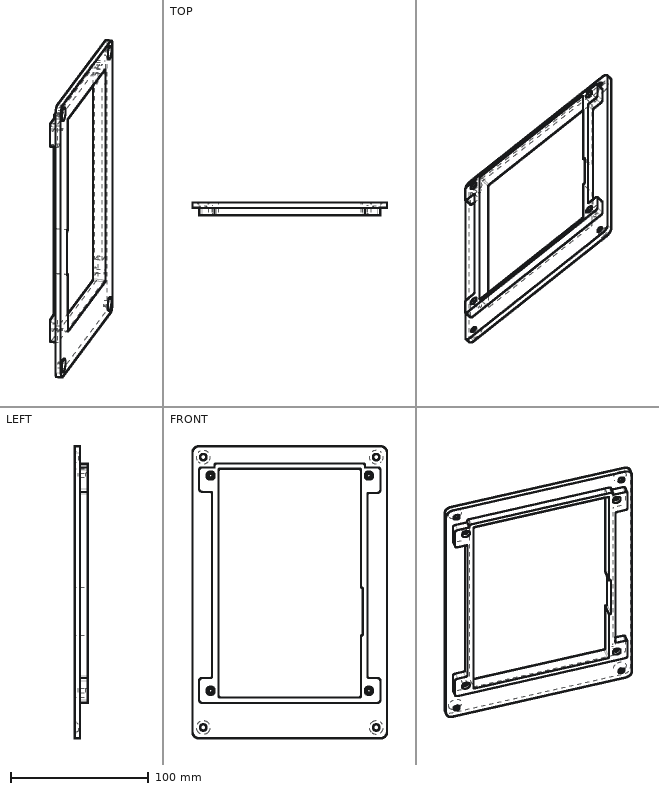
import cadquery as cq

plate_width = 142.0
plate_height = 213.0
plate_thickness = 4.0
plate_corner_radius = 5.0
total_depth = 9.5

mount_hole_diameter = 4.5
mount_hole_inset = 8.0
mount_countersink_diameter = 10.0

frame_height = total_depth - plate_thickness
frame_top = 93.75
frame_bottom = -80.5
crest_half_width = 55.0
tab_half_width = 66.0
rail_half_width = 56.5
upper_tab_top = 91.0
left_upper_tab_bottom = 73.25
right_upper_tab_bottom = 72.5
lower_tab_top = -62.5
tab_corner_radius = 2.0
rail_corner_radius = 1.5
crest_corner_radius = 1.5

window_half_width = 51.75
window_top = 90.0
window_bottom = -76.5
window_corner_radius = 1.0

relief_depth = 1.4
relief_top = 3.5
relief_bottom = -31.5
relief_corner_radius = 1.0

screw_x = 57.65
upper_screw_z = 85.0
lower_screw_z = -71.75
screw_hole_diameter = 3.0
screw_hole_depth = 7.0
screw_countersink_diameter = 6.0

plate_back = total_depth / 2
plate_front = plate_back - plate_thickness
frame_front = -total_depth / 2

TOWARDS_FRONT = cq.Vector(0, -1, 0)
TOWARDS_BACK = cq.Vector(0, 1, 0)


def front_plane(y):
    """Sketch plane with local axes X and Z whose normal points to -Y."""
    return cq.Workplane("XZ", origin=(0, y, 0))


def box_between(x_min, x_max, z_min, z_max, y_back, depth):
    """Block running from y_back towards -Y by depth."""
    return (
        front_plane(y_back)
        .center((x_min + x_max) / 2, (z_min + z_max) / 2)
        .rect(x_max - x_min, z_max - z_min)
        .extrude(depth)
    )


def countersunk_hole(mouth, direction, diameter, depth, countersink_diameter):
    """Round hole cutter with a 90-degree countersink at its mouth."""
    countersink_depth = (countersink_diameter - diameter) / 2
    shaft = cq.Solid.makeCylinder(diameter / 2, depth, mouth, direction)
    cone = cq.Solid.makeCone(countersink_diameter / 2, diameter / 2, countersink_depth, mouth, direction)
    return cq.Workplane(shaft.fuse(cone))


def fillet_uprights(body, points, radius):
    """Round the edges parallel to Y that pass through the given (x, z) points."""
    margin = 0.1
    for x, z in points:
        around_edge = cq.selectors.BoxSelector(
            (x - margin, -total_depth, z - margin), (x + margin, total_depth, z + margin)
        )
        body = body.edges("|Y").edges(around_edge).fillet(radius)
    return body


def make_plate():
    plate = front_plane(plate_back).rect(plate_width, plate_height).extrude(plate_thickness)
    plate = plate.edges("|Y").fillet(plate_corner_radius)
    hole_x = plate_width / 2 - mount_hole_inset
    hole_z = plate_height / 2 - mount_hole_inset
    for x in (-hole_x, hole_x):
        for z in (-hole_z, hole_z):
            mouth = cq.Vector(x, plate_back, z)
            plate = plate.cut(
                countersunk_hole(
                    mouth, TOWARDS_FRONT, mount_hole_diameter, plate_thickness, mount_countersink_diameter
                )
            )
    return plate


def make_frame():
    right_side = [
        (crest_half_width, frame_top),
        (crest_half_width, upper_tab_top),
        (tab_half_width, upper_tab_top),
        (tab_half_width, right_upper_tab_bottom),
        (rail_half_width, right_upper_tab_bottom),
        (rail_half_width, lower_tab_top),
        (tab_half_width, lower_tab_top),
        (tab_half_width, frame_bottom),
    ]
    left_side = [
        (-tab_half_width, frame_bottom),
        (-tab_half_width, lower_tab_top),
        (-rail_half_width, lower_tab_top),
        (-rail_half_width, left_upper_tab_bottom),
        (-tab_half_width, left_upper_tab_bottom),
        (-tab_half_width, upper_tab_top),
        (-crest_half_width, upper_tab_top),
        (-crest_half_width, frame_top),
    ]
    outline = right_side + left_side
    frame = front_plane(plate_front).polyline(outline).close().extrude(frame_height)

    tab_corners = [p for p in outline if abs(p[0]) == tab_half_width]
    rail_corners = [p for p in outline if abs(p[0]) == rail_half_width]
    crest_corners = [p for p in outline if p[1] == frame_top]
    frame = fillet_uprights(frame, tab_corners, tab_corner_radius)
    frame = fillet_uprights(frame, rail_corners, rail_corner_radius)
    return fillet_uprights(frame, crest_corners, crest_corner_radius)


def make_window():
    window = box_between(
        -window_half_width, window_half_width, window_bottom, window_top, plate_back, total_depth
    )
    window = window.edges("|Y").fillet(window_corner_radius)
    relief = box_between(
        0, window_half_width + relief_depth, relief_bottom, relief_top, plate_back, total_depth
    )
    relief = relief.edges("|Y and >X").fillet(relief_corner_radius)
    return window.union(relief)


def cut_screw_holes(body):
    for x in (-screw_x, screw_x):
        for z in (lower_screw_z, upper_screw_z):
            mouth = cq.Vector(x, frame_front, z)
            body = body.cut(
                countersunk_hole(
                    mouth, TOWARDS_BACK, screw_hole_diameter, screw_hole_depth, screw_countersink_diameter
                )
            )
    return body


result = cut_screw_holes(make_plate().union(make_frame()).cut(make_window()))